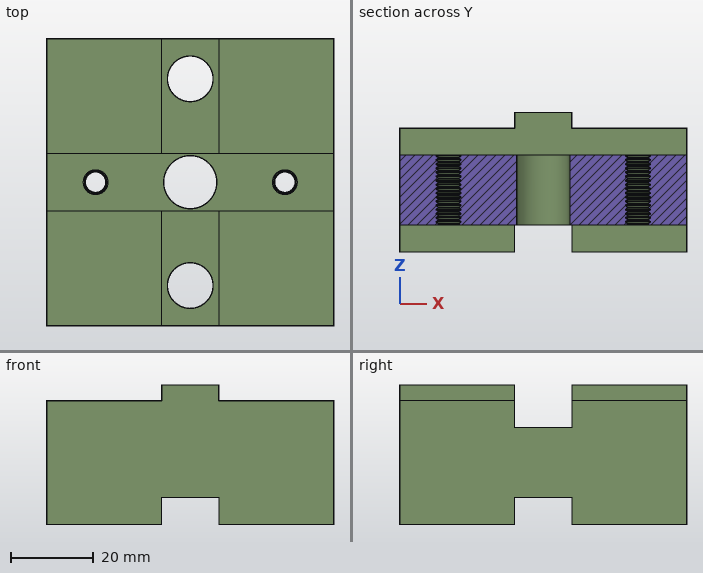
import cadquery as cq
import math

side = 69.5
body_height = 30.0

way_width = side / 5
key_height = 3.8
slot_depth = 6.5

centre_hole_diameter = 12.8
bolt_hole_diameter = 11.0
bolt_hole_offset = 25.0

thread_major_diameter = 6.0
thread_pitch = 1.0
thread_hole_offset = 22.9

sharp_thread_depth = thread_pitch * math.sqrt(3) / 2
thread_minor_diameter = thread_major_diameter - 2 * sharp_thread_depth * 5 / 8
major_flat = thread_pitch / 8
minor_flat = thread_pitch / 4
flank_height = (thread_pitch - major_flat - minor_flat) / 2

overall_height = body_height + key_height
web_height = body_height - 2 * slot_depth


def block_with_key():
    """Square block with a raised key running along Y on its top face."""
    block = cq.Workplane("XY").box(side, side, body_height, centered=(True, True, False))
    key = cq.Workplane("XY").box(way_width, side, overall_height, centered=(True, True, False))
    return block.union(key)


def slot_cutter(length_x, length_y, floor_z, height):
    """Rectangular slot volume whose lower face lies at floor_z."""
    return (
        cq.Workplane("XY", origin=(0, 0, floor_z))
        .box(length_x, length_y, height, centered=(True, True, False))
    )


def through_hole(diameter, x, y):
    """Plain cylinder through the whole height at (x, y)."""
    return cq.Workplane("XY").center(x, y).circle(diameter / 2).extrude(overall_height)


def threaded_hole(x):
    """Ringed thread profile through the web, revolved about a vertical axis at (x, 0)."""
    minor_radius = thread_minor_diameter / 2
    major_radius = thread_major_diameter / 2
    mid_flank_radius = (minor_radius + major_radius) / 2

    profile = cq.Workplane("XZ", origin=(x, 0, slot_depth)).lineTo(mid_flank_radius, 0)
    for ring in range(round(web_height / thread_pitch)):
        minor_start = ring * thread_pitch + flank_height / 2
        minor_end = minor_start + minor_flat
        major_start = minor_end + flank_height
        major_end = major_start + major_flat
        profile = profile.lineTo(minor_radius, minor_start)
        profile = profile.lineTo(minor_radius, minor_end)
        profile = profile.lineTo(major_radius, major_start)
        profile = profile.lineTo(major_radius, major_end)
    profile = profile.lineTo(mid_flank_radius, web_height)
    profile = profile.lineTo(0, web_height).close()
    return profile.revolve(360, (0, 0), (0, 1))


result = block_with_key()

top_slot_floor = body_height - slot_depth
result = result.cut(slot_cutter(side, way_width, top_slot_floor, slot_depth + key_height))

result = result.cut(slot_cutter(side, way_width, 0, slot_depth))
result = result.cut(slot_cutter(way_width, side, 0, slot_depth))

result = result.cut(through_hole(centre_hole_diameter, 0, 0))
for direction in (-1, 1):
    result = result.cut(through_hole(bolt_hole_diameter, 0, direction * bolt_hole_offset))
    result = result.cut(threaded_hole(direction * thread_hole_offset))